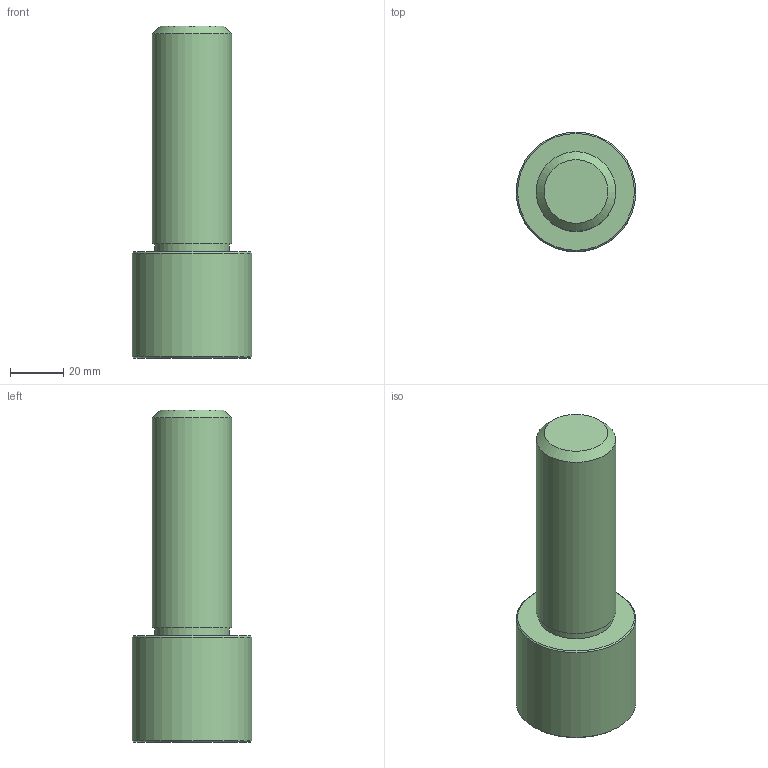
import cadquery as cq

total_length = 125.0
head_diameter = 45.0
head_length = 40.0
head_chamfer = 0.5
shank_diameter = 30.0
tip_chamfer = 3.0
neck_diameter = 28.0
neck_length = 3.0

shank_length = total_length - head_length - neck_length


def cylinder(diameter, length, base_z):
    """Upright cylinder on the Z axis, standing on base_z."""
    return cq.Workplane("XY").workplane(offset=base_z).circle(diameter / 2).extrude(length)


def make_head():
    """Large head with both rims lightly chamfered."""
    return cylinder(head_diameter, head_length, 0).edges("%CIRCLE").chamfer(head_chamfer)


def make_neck():
    """Undercut between the head and the shank."""
    return cylinder(neck_diameter, neck_length, head_length)


def make_shank():
    """Long pin with a chamfered lead-in at its free end."""
    shank = cylinder(shank_diameter, shank_length, head_length + neck_length)
    return shank.faces(">Z").edges().chamfer(tip_chamfer)


result = make_head().union(make_neck()).union(make_shank())